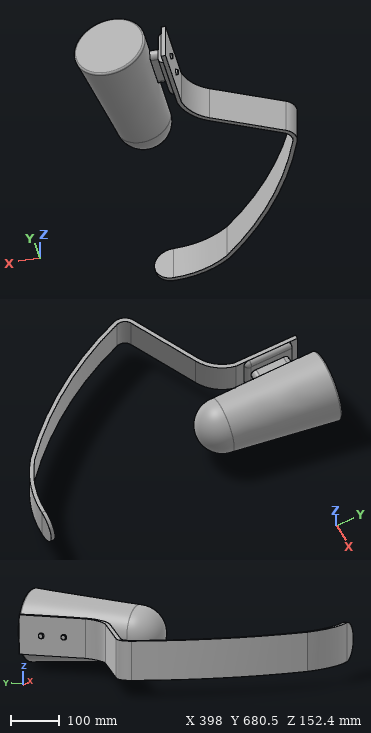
import cadquery as cq
import math


strap_width = 82.0
strap_thickness = 9.2
mount_length = 143.5
shoulder_crease = 12.0
shoulder_radius = 86.3
shoulder_turn = 51.4
arm_length = 160.5
elbow_radius = 31.0
elbow_turn = 84.2
forearm_radius = 789.0
forearm_turn = 27.4
curl_crease = 5.2
curl_radius = 213.0
curl_turn = 90.0 + shoulder_crease + shoulder_turn - elbow_turn - forearm_turn - curl_crease

foot_thickness = 10.5
foot_top = -18.6
foot_bottom = -125.0
foot_height = strap_width
foot_corner_radius = 12.0
foot_edge_radius = 10.0
neck_top = -27.0
neck_bottom = -114.5
neck_end_radius = 12.0

cup_side_x = 39.6
cup_rim_y = 17.5
cup_center_z = -1.0
rim_radius = 76.5
dome_radius = 59.0
taper_length = 236.0
rim_edge_radius = 4.0
cup_tilt = math.degrees(math.atan((rim_radius - dome_radius) / taper_length))

screw_diameter = 12.0
screw_end_diameter = 9.5
screw_protrusion = 4.0
screw_ys = (-47.5, -96.5)
screw_end_x = strap_thickness + foot_thickness


def ahead(point, heading, distance):
    """Point reached by going straight from a point along a heading in degrees."""
    angle = math.radians(heading)
    return (point[0] + distance * math.cos(angle), point[1] + distance * math.sin(angle))


def strap_prism(outline):
    return outline.close().extrude(strap_width / 2, both=True)


def straight_piece(start, heading, length):
    """Flat stretch of strap, its thickness to the left of the heading; returns solid and end point."""
    end = ahead(start, heading, length)
    outline = cq.Workplane("XY").moveTo(*start).lineTo(*end)
    outline = outline.lineTo(*ahead(end, heading + 90, strap_thickness))
    outline = outline.lineTo(*ahead(start, heading + 90, strap_thickness))
    return strap_prism(outline), end


def curved_piece(start, heading, radius, turn, crease=0.0):
    """Bend of the strap (positive angles turn left); returns solid, end point and end heading."""
    far_start = ahead(start, heading + 90, strap_thickness)
    heading += crease
    side = math.copysign(90, turn)
    center = ahead(start, heading + side, radius)
    far_radius = radius - math.copysign(strap_thickness, turn)

    def on_arc(arc_radius, part):
        return ahead(center, heading - side + part * turn, arc_radius)

    end = on_arc(radius, 1)
    outline = cq.Workplane("XY").moveTo(*start).threePointArc(on_arc(radius, 0.5), end)
    outline = outline.lineTo(*on_arc(far_radius, 1))
    outline = outline.threePointArc(on_arc(far_radius, 0.5), far_start)
    return strap_prism(outline), end, heading + turn


def make_strap():
    mount, point = straight_piece((0, 0), -90, mount_length)
    shoulder, point, heading = curved_piece(point, -90, shoulder_radius, -shoulder_turn, -shoulder_crease)
    arm, point = straight_piece(point, heading, arm_length)
    elbow, point, heading = curved_piece(point, heading, elbow_radius, elbow_turn)
    forearm, point, heading = curved_piece(point, heading, forearm_radius, forearm_turn)
    curl, point, _ = curved_piece(point, heading, curl_radius, curl_turn, curl_crease)

    half_width = strap_width / 2
    tip = cq.Workplane("XZ", origin=(point[0], point[1], 0)).moveTo(0, -half_width)
    tip = tip.threePointArc((half_width, 0), (0, half_width)).close().extrude(-strap_thickness)

    strap = mount
    for piece in (shoulder, arm, elbow, forearm, curl, tip):
        strap = strap.union(piece)
    return strap


def make_foot():
    """Plate with rounded lower corners and rounded edges all around except at its upper end."""
    foot = cq.Workplane("XY").box(
        foot_thickness, foot_top - foot_bottom, foot_height, centered=(False, False, True)
    )
    foot = foot.translate((strap_thickness, foot_bottom, 0))
    foot = foot.edges("|X and <Y").fillet(foot_corner_radius)
    return foot.faces(">X").edges("not >Y").fillet(foot_edge_radius)


def make_cup():
    """Tapered cup turned about its own axis, with a half-sphere at its lower end."""
    profile = cq.Workplane("XY").lineTo(rim_radius, 0).lineTo(dome_radius, -taper_length)
    diagonal = dome_radius * math.sqrt(0.5)
    profile = profile.threePointArc(
        (diagonal, -taper_length - diagonal), (0, -taper_length - dome_radius)
    ).close()
    cup = profile.revolve(360, (0, 0), (0, 1))
    cup = cup.faces(">Y").edges().fillet(rim_edge_radius)
    cup = cup.translate((rim_radius, 0, 0)).rotate((0, 0, 0), (0, 0, 1), -cup_tilt)
    return cup.translate((cup_side_x, cup_rim_y, cup_center_z))


def make_neck():
    """Block with half-round upper and lower ends that reaches from the foot well into the cup."""
    neck = cq.Workplane("YZ", origin=(strap_thickness + foot_thickness, (neck_top + neck_bottom) / 2, 0))
    neck = neck.slot2D(neck_top - neck_bottom, 2 * neck_end_radius)
    return neck.extrude(cup_side_x + dome_radius - strap_thickness - foot_thickness)


def make_screw(y):
    """Round pin through strap and foot, with a tapered protruding end."""
    screw = cq.Workplane("YZ", origin=(0, y, 0)).circle(screw_diameter / 2).extrude(screw_end_x)
    taper = math.degrees(math.atan((screw_diameter - screw_end_diameter) / 2 / screw_protrusion))
    return screw.faces("<X").workplane().circle(screw_diameter / 2).extrude(screw_protrusion, taper=taper)


screws = [make_screw(y) for y in screw_ys]
strap = make_strap()
cup = make_cup()
holder = cup.union(make_neck()).union(make_foot())
for screw in screws:
    strap = strap.cut(screw)
    holder = holder.cut(screw)

result = cq.Compound.makeCompound([strap.val(), holder.val()] + [screw.val() for screw in screws])